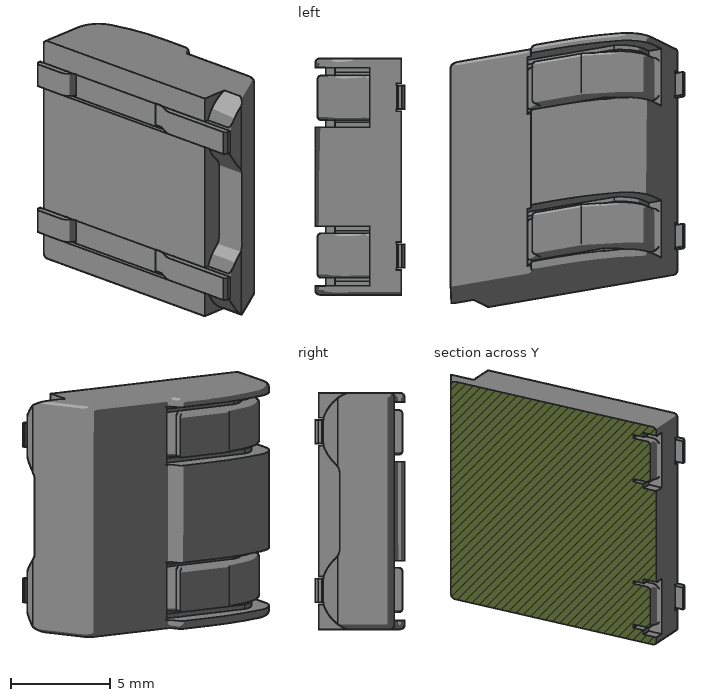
import cadquery as cq
import math

LENGTH = 13.1
DEPTH = 4.52
HEIGHT = 11.93
PITCH = 8.0
POLE_CENTRES = (-PITCH / 2, PITCH / 2)

BASE_Y = 0.17
HOUSING_LEFT = 0.4
LOW_TOP_Y = 3.99
NOSE_RADIUS = 1.55
NOSE_TURN = 74
CREST_START_X = 4.75
CREST_END_X = 6.2
STEP_END_X = 6.94
SLOPE_ANGLE = 60
SLOPE_BOTTOM_Y = 1.15
SLOPE_FILLET = 0.7
TIP_RADIUS = 0.22
EDGE_FILLET = 0.25

MOUTH_START_X = 11.5
MOUTH_SIDE_Y = 1.62
MOUTH_RECESS_Y = 1.23
MOUTH_SHOULDER = (1.62, 1.02)
MOUTH_ROUND_MID = (1.25, 0.7)
MOUTH_BLEND_MID = (1.79, 1.16)
MOUTH_BLEND_END = 2.0

GROOVE_WIDTH = 1.4
GROOVE_FLOOR_Y = 0.42
TERMINAL_WIDTH = 1.2
TERMINAL_THICKNESS = 0.34
TERMINAL_CHAMFER = 0.16
TERMINAL_ROOT_Y = 0.7
FRONT_TERMINAL_END = 2.4
FRONT_BEND_START = 1.75
FRONT_BEND_END = (2.17, 0.17)
REAR_BEND_START = 9.2
REAR_RAMP_START = (8.93, 0.08)
REAR_RAMP_END = (8.42, 0.33)
REAR_STEP_START = 8.23
REAR_STEP_Y = 0.39
REAR_TERMINAL_START = 7.9

BAY_WIDTH = 3.0
BAY_FLOOR_Y = 1.77
BAY_END_X = 7.2
BAY_LIP_Y = 3.54
BAY_LEDGE_WIDTH = 0.23
BUTTON_PITCH = 7.95
BUTTON_WIDTH = 2.25
BUTTON_LEFT = 0.75
BUTTON_END_X = 6.4
BUTTON_TOP_Y = 4.41
BUTTON_CURVE_Y = 2.13
BUTTON_RADIUS = 1.85
BUTTON_TURN = 71
BUTTON_FILLET = 0.2
FOOT_FILLET = 0.2
LEDGE_OFFSET = 0.4
GAP_OFFSET = 1.0

OVERCUT = 1.0


def curve_point(left, radius, start_y, turn):
    """Point on a front rounding that starts upright at (left, start_y), after `turn` degrees."""
    angle = math.radians(turn)
    return (left + radius * (1 - math.cos(angle)), start_y + radius * math.sin(angle))


def block(x_range, y_range, z_range):
    """Axis-aligned box between the given limits."""
    size = [high - low for low, high in (x_range, y_range, z_range)]
    corner = (x_range[0], y_range[0], z_range[0])
    return cq.Workplane("XY").box(*size, centered=False).translate(corner)


def slab(outline, width, centre_z=0.0):
    """Extrude a closed XY outline symmetrically about centre_z."""
    return outline.extrude(width / 2, both=True).translate((0, 0, centre_z))


def make_housing():
    """Full-height body with its side-profile edges rounded."""
    slope_run = (LOW_TOP_Y - SLOPE_BOTTOM_Y) / math.tan(math.radians(SLOPE_ANGLE))
    slope_top_x = LENGTH - slope_run
    step_middle = ((CREST_END_X + STEP_END_X) / 2, (DEPTH + LOW_TOP_Y) / 2)
    nose_end_x, nose_rise = curve_point(HOUSING_LEFT, NOSE_RADIUS, 0, NOSE_TURN)
    crest_turn = math.radians(90 - NOSE_TURN)
    nose_start_y = DEPTH - nose_rise - (CREST_START_X - nose_end_x) * math.tan(crest_turn / 2)
    outline = (
        cq.Workplane("XY")
        .moveTo(HOUSING_LEFT, BASE_Y)
        .lineTo(HOUSING_LEFT, nose_start_y)
        .threePointArc(
            curve_point(HOUSING_LEFT, NOSE_RADIUS, nose_start_y, NOSE_TURN / 2),
            curve_point(HOUSING_LEFT, NOSE_RADIUS, nose_start_y, NOSE_TURN),
        )
        .tangentArcPoint((CREST_START_X, DEPTH), relative=False)
        .lineTo(CREST_END_X, DEPTH)
        .tangentArcPoint(step_middle, relative=False)
        .tangentArcPoint((STEP_END_X, LOW_TOP_Y), relative=False)
        .lineTo(slope_top_x, LOW_TOP_Y)
        .lineTo(LENGTH, SLOPE_BOTTOM_Y)
        .lineTo(LENGTH, BASE_Y)
        .close()
    )
    housing = slab(outline, HEIGHT)
    slope_corner = cq.selectors.NearestToPointSelector((slope_top_x, LOW_TOP_Y, 0))
    housing = housing.edges(slope_corner).fillet(SLOPE_FILLET)
    end_rims = housing.faces("<Z or >Z").edges()
    return end_rims.edges("not(<Y or >X)").fillet(EDGE_FILLET)


def mouth_undercut():
    """Space in front of the +X end that leaves two rounded wire-entry mouths."""
    pole_z = PITCH / 2
    half_flat = GROOVE_WIDTH / 2
    front_y = BASE_Y - OVERCUT
    beyond_z = HEIGHT / 2 + OVERCUT
    shoulder_offset, shoulder_y = MOUTH_SHOULDER
    mid_offset, mid_y = MOUTH_ROUND_MID
    blend_offset, blend_y = MOUTH_BLEND_MID
    upper_half = (
        cq.Workplane("YZ", origin=(MOUTH_START_X, 0, 0))
        .moveTo(front_y, 0)
        .lineTo(MOUTH_RECESS_Y, 0)
        .lineTo(MOUTH_RECESS_Y, pole_z - MOUTH_BLEND_END)
        .threePointArc((blend_y, pole_z - blend_offset), (shoulder_y, pole_z - shoulder_offset))
        .threePointArc((mid_y, pole_z - mid_offset), (GROOVE_FLOOR_Y, pole_z - half_flat))
        .lineTo(GROOVE_FLOOR_Y, pole_z + half_flat)
        .threePointArc((mid_y, pole_z + mid_offset), (MOUTH_SIDE_Y, HEIGHT / 2))
        .lineTo(MOUTH_SIDE_Y, beyond_z)
        .lineTo(front_y, beyond_z)
        .close()
        .extrude(LENGTH - MOUTH_START_X + OVERCUT)
    )
    return upper_half.union(upper_half.mirror("XY"))


def tip_rounding():
    """Sliver that rounds the front corner of the mouth tips."""
    corner_cut = TIP_RADIUS * (1 - math.sqrt(0.5))
    sliver = (
        cq.Workplane("XY")
        .moveTo(LENGTH - TIP_RADIUS, GROOVE_FLOOR_Y)
        .threePointArc(
            (LENGTH - corner_cut, GROOVE_FLOOR_Y + corner_cut),
            (LENGTH, GROOVE_FLOOR_Y + TIP_RADIUS),
        )
        .lineTo(LENGTH, GROOVE_FLOOR_Y)
        .close()
    )
    return slab(sliver, HEIGHT)


def terminal_groove(pole_z):
    """Groove along the mounting face in which a pole's terminals lie."""
    z_range = (pole_z - GROOVE_WIDTH / 2, pole_z + GROOVE_WIDTH / 2)
    return block((HOUSING_LEFT, LENGTH), (BASE_Y, GROOVE_FLOOR_Y), z_range)


def front_terminal(pole_z):
    """Short terminal at -X, bending up into the groove floor."""
    outline = (
        cq.Workplane("XY")
        .moveTo(0, TERMINAL_THICKNESS)
        .lineTo(0, TERMINAL_CHAMFER)
        .lineTo(TERMINAL_CHAMFER, 0)
        .lineTo(FRONT_BEND_START, 0)
        .tangentArcPoint(FRONT_BEND_END, relative=False)
        .lineTo(FRONT_TERMINAL_END, GROOVE_FLOOR_Y)
        .lineTo(FRONT_TERMINAL_END, TERMINAL_ROOT_Y)
        .lineTo(FRONT_BEND_START, TERMINAL_THICKNESS)
        .close()
    )
    return slab(outline, TERMINAL_WIDTH, pole_z)


def rear_terminal(pole_z):
    """Long terminal at +X, stepping up into the groove floor at its inner end."""
    outline = (
        cq.Workplane("XY")
        .moveTo(LENGTH, TERMINAL_THICKNESS)
        .lineTo(LENGTH, TERMINAL_CHAMFER)
        .lineTo(LENGTH - TERMINAL_CHAMFER, 0)
        .lineTo(REAR_BEND_START, 0)
        .tangentArcPoint(REAR_RAMP_START, relative=False)
        .lineTo(*REAR_RAMP_END)
        .tangentArcPoint((REAR_STEP_START, REAR_STEP_Y), relative=False)
        .lineTo(REAR_TERMINAL_START, REAR_STEP_Y)
        .lineTo(REAR_TERMINAL_START, TERMINAL_ROOT_Y)
        .lineTo(REAR_RAMP_END[0], TERMINAL_ROOT_Y)
        .lineTo(REAR_BEND_START, TERMINAL_THICKNESS)
        .close()
    )
    return slab(outline, TERMINAL_WIDTH, pole_z)


def bay_pocket(floor_left, width, pole_z):
    """Cutter for a button bay whose curved floor starts at floor_left."""
    above = DEPTH + OVERCUT
    radius = BUTTON_RADIUS - LEDGE_OFFSET
    outline = (
        cq.Workplane("XY")
        .moveTo(HOUSING_LEFT - OVERCUT, BAY_FLOOR_Y)
        .lineTo(floor_left, BAY_FLOOR_Y)
        .lineTo(floor_left, BUTTON_CURVE_Y)
        .threePointArc(
            curve_point(floor_left, radius, BUTTON_CURVE_Y, BUTTON_TURN / 2),
            curve_point(floor_left, radius, BUTTON_CURVE_Y, BUTTON_TURN),
        )
        .lineTo(BAY_END_X, BAY_LIP_Y)
        .lineTo(STEP_END_X, LOW_TOP_Y)
        .lineTo(STEP_END_X, above)
        .lineTo(HOUSING_LEFT - OVERCUT, above)
        .close()
    )
    return slab(outline, width, pole_z)


def button(pole_z):
    """Rounded push button filling the middle of a bay, with a filleted foot sunk into the bay floor."""
    foot_left = BUTTON_LEFT - FOOT_FILLET
    root_y = BAY_FLOOR_Y - FOOT_FILLET
    curve_end = curve_point(BUTTON_LEFT, BUTTON_RADIUS, BUTTON_CURVE_Y, BUTTON_TURN)
    ramp_run = (BUTTON_TOP_Y - curve_end[1]) * math.tan(math.radians(BUTTON_TURN))
    fillet_middle = FOOT_FILLET * (1 - math.sqrt(0.5))
    outline = (
        cq.Workplane("XY")
        .moveTo(foot_left, root_y)
        .lineTo(foot_left, BAY_FLOOR_Y)
        .threePointArc(
            (BUTTON_LEFT - fillet_middle, BAY_FLOOR_Y + fillet_middle),
            (BUTTON_LEFT, BAY_FLOOR_Y + FOOT_FILLET),
        )
        .lineTo(BUTTON_LEFT, BUTTON_CURVE_Y)
        .threePointArc(
            curve_point(BUTTON_LEFT, BUTTON_RADIUS, BUTTON_CURVE_Y, BUTTON_TURN / 2),
            curve_end,
        )
        .lineTo(curve_end[0] + ramp_run, BUTTON_TOP_Y)
        .lineTo(BUTTON_END_X, BUTTON_TOP_Y)
        .lineTo(BUTTON_END_X, LOW_TOP_Y)
        .lineTo(BAY_END_X, BAY_LIP_Y)
        .lineTo(BAY_END_X, root_y)
        .close()
    )
    solid = slab(outline, BUTTON_WIDTH, pole_z * BUTTON_PITCH / PITCH)
    side_rims = solid.faces("<Z or >Z").edges("not(<Y or >X or <X)")
    return side_rims.fillet(BUTTON_FILLET)


result = make_housing().cut(mouth_undercut()).cut(tip_rounding())
for pole in POLE_CENTRES:
    result = result.cut(terminal_groove(pole))
    result = result.cut(bay_pocket(BUTTON_LEFT + LEDGE_OFFSET, BAY_WIDTH, pole))
    result = result.cut(bay_pocket(BUTTON_LEFT + GAP_OFFSET, BAY_WIDTH - 2 * BAY_LEDGE_WIDTH, pole))
    result = result.union(button(pole))
    result = result.union(front_terminal(pole)).union(rear_terminal(pole))